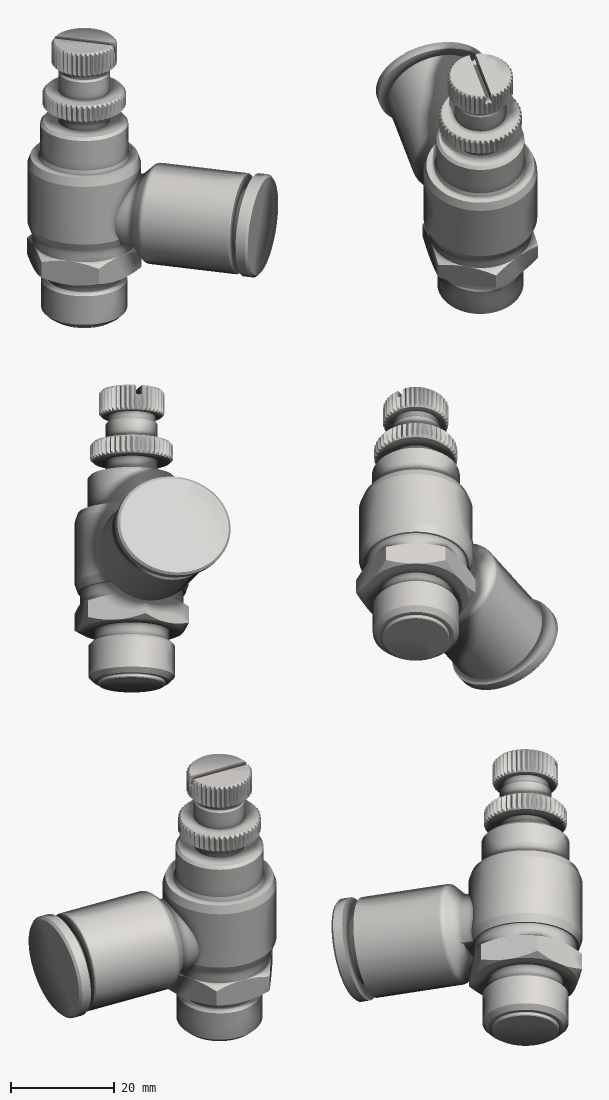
import cadquery as cq
import math


nose_top = 0.7
thread_top = 8.2
hex_bottom = 10.65
hex_top = 15.75
body_bottom = 18.3
body_top = 33.9
bonnet_top = 41.4
nut_bottom = 44.35
nut_top = 47.9
stem_top = 52.05
knob_bottom = 53.35
total_height = 58.3

nose_radius = 6.55
thread_radius = 8.35
undercut_radius = 7.3
hex_across_flats = 20.0
hex_corner_radius = hex_across_flats / math.sqrt(3)
collar_radius = hex_across_flats / 2
body_radius = 11.0
bonnet_radius = 8.5
stem_radius = 5.0
stem_neck_radius = 4.6

nose_chamfer = 0.2
thread_lower_chamfer = 0.95
thread_upper_chamfer = 0.5
hex_chamfer_angle = math.radians(30)
body_chamfer_width = 0.6
body_chamfer_height = 1.65
bonnet_chamfer = 0.5
bonnet_foot_width = 0.4
bonnet_foot_height = 0.7
stem_chamfer = 0.35

knob_radius = 6.35
knob_teeth = 40
knob_tooth_depth = 0.5
nut_radius = 8.05
nut_teeth = 46
nut_tooth_depth = 0.5
slot_width = 1.2
slot_depth = 1.9

arm_height = 23.3
arm_neck_radius = 7.35
cone_start = 10.95
cone_start_radius = 7.0
cone_angle = math.radians(45)
blend_radius = 1.3
blend_reach = blend_radius * math.tan(cone_angle / 2)
blend_cone_step = blend_reach * math.cos(cone_angle)
blend_middle_along = blend_radius * math.sin(cone_angle / 2)
blend_middle_across = blend_radius * (1 - math.cos(cone_angle / 2))
tube_radius = 9.85
tube_end = 31.95
tube_end_chamfer = 0.2
sleeve_radius = 7.1
flange_start = 33.6
flange_end = 35.9
flange_half_width = 11.25
flange_half_height = 9.8
flange_chamfer = 0.45


def revolve_about_z(outline):
    """Spin an outline of (radius, height) points, closed along the axis, about Z."""
    return cq.Workplane("XZ").polyline(outline).close().revolve(360, (0, 0, 0), (0, 1, 0))


def make_spindle():
    """All round steps on the screw axis, without the hexagon and the knurled rings."""
    return revolve_about_z([
        (0, 0),
        (nose_radius - nose_chamfer, 0),
        (nose_radius, nose_chamfer),
        (nose_radius, nose_top),
        (thread_radius - thread_lower_chamfer, nose_top),
        (thread_radius, nose_top + thread_lower_chamfer),
        (thread_radius, thread_top - thread_upper_chamfer),
        (thread_radius - thread_upper_chamfer, thread_top),
        (undercut_radius, thread_top),
        (undercut_radius, hex_bottom),
        (collar_radius, hex_bottom),
        (collar_radius, body_bottom),
        (body_radius - body_chamfer_width, body_bottom),
        (body_radius, body_bottom + body_chamfer_height),
        (body_radius, body_top - body_chamfer_height),
        (body_radius - body_chamfer_width, body_top),
        (bonnet_radius + bonnet_foot_width, body_top),
        (bonnet_radius, body_top + bonnet_foot_height),
        (bonnet_radius, bonnet_top - bonnet_chamfer),
        (bonnet_radius - bonnet_chamfer, bonnet_top),
        (stem_radius, bonnet_top),
        (stem_radius, stem_top - stem_chamfer),
        (stem_radius - stem_chamfer, stem_top),
        (stem_neck_radius, stem_top),
        (stem_neck_radius, knob_bottom),
        (0, knob_bottom),
    ])


def make_hexagon():
    """Hexagon with corners on the X axis, chamfered by a cone at both ends."""
    prism = (
        cq.Workplane("XY")
        .workplane(offset=hex_bottom)
        .polygon(6, 2 * hex_corner_radius)
        .extrude(hex_top - hex_bottom)
    )
    corner_drop = (hex_corner_radius - collar_radius) * math.tan(hex_chamfer_angle)
    envelope = revolve_about_z([
        (0, hex_bottom),
        (collar_radius, hex_bottom),
        (hex_corner_radius, hex_bottom + corner_drop),
        (hex_corner_radius, hex_top - corner_drop),
        (collar_radius, hex_top),
        (0, hex_top),
    ])
    return prism.intersect(envelope)


def make_knurled_ring(bottom, top, crest_radius, tooth_depth, tooth_count, first_crest):
    """Disc with pointed teeth, bevelled down to the tooth roots at both ends."""
    root_radius = crest_radius - tooth_depth
    half_pitch = math.pi / tooth_count
    outline = []
    for tooth in range(tooth_count):
        crest_angle = first_crest + 2 * half_pitch * tooth
        for radius, angle in ((crest_radius, crest_angle), (root_radius, crest_angle + half_pitch)):
            outline.append((radius * math.cos(angle), radius * math.sin(angle)))
    disc = cq.Workplane("XY").workplane(offset=bottom).polyline(outline).close().extrude(top - bottom)
    envelope = revolve_about_z([
        (0, bottom),
        (root_radius, bottom),
        (crest_radius, bottom + tooth_depth),
        (crest_radius, top - tooth_depth),
        (root_radius, top),
        (0, top),
    ])
    return disc.intersect(envelope)


def make_knob():
    """Knurled knob with a screwdriver slot along X; tooth roots lie on the X and Y axes."""
    knob = make_knurled_ring(
        knob_bottom, total_height, knob_radius, knob_tooth_depth, knob_teeth, math.pi / knob_teeth
    )
    slot = (
        cq.Workplane("XY")
        .workplane(offset=total_height - slot_depth)
        .rect(2 * knob_radius, slot_width)
        .extrude(slot_depth)
    )
    return knob.cut(slot)


def revolve_about_arm(outline):
    """Close and spin an (x, radius) outline about the arm axis and lift it to the arm height."""
    return outline.close().revolve(360, (0, 0, 0), (1, 0, 0)).translate((0, 0, arm_height))


def make_arm_neck():
    """Neck joining body and cone, with a concave blend onto the cone."""
    corner = cone_start + arm_neck_radius - cone_start_radius
    blend_start = corner - blend_reach
    blend_end = corner + blend_cone_step
    blend_end_radius = arm_neck_radius + blend_cone_step
    blend_middle = (blend_start + blend_middle_along, arm_neck_radius + blend_middle_across)
    neck = revolve_about_arm(
        cq.Workplane("XZ")
        .moveTo(0, 0)
        .lineTo(0, arm_neck_radius)
        .lineTo(blend_start, arm_neck_radius)
        .threePointArc(blend_middle, (blend_end, blend_end_radius))
        .lineTo(blend_end, 0)
    )
    clearance = cq.Workplane("XY").circle(flange_end).extrude(body_bottom)
    return neck.cut(clearance)


def make_tube():
    """Cone, tube socket with a rounded shoulder, and the release sleeve behind the flange."""
    corner = cone_start + tube_radius - cone_start_radius
    blend_start = corner - blend_cone_step
    blend_start_radius = tube_radius - blend_cone_step
    blend_end = corner + blend_reach
    blend_middle = (blend_end - blend_middle_along, tube_radius - blend_middle_across)
    return revolve_about_arm(
        cq.Workplane("XZ")
        .moveTo(cone_start, 0)
        .lineTo(cone_start, cone_start_radius)
        .lineTo(blend_start, blend_start_radius)
        .threePointArc(blend_middle, (blend_end, tube_radius))
        .lineTo(tube_end - tube_end_chamfer, tube_radius)
        .lineTo(tube_end, tube_radius - tube_end_chamfer)
        .lineTo(tube_end, sleeve_radius)
        .lineTo(flange_start, sleeve_radius)
        .lineTo(flange_start, 0)
    )


def make_flange():
    """Oval release flange, wider along Y, bevelled on its outer face."""
    return (
        cq.Workplane("YZ", origin=(flange_start, 0, arm_height))
        .ellipse(flange_half_width, flange_half_height)
        .extrude(flange_end - flange_start)
        .faces(">X")
        .chamfer(flange_chamfer)
    )


lock_nut = make_knurled_ring(nut_bottom, nut_top, nut_radius, nut_tooth_depth, nut_teeth, math.pi / 2)

result = (
    make_spindle()
    .union(make_hexagon())
    .union(lock_nut)
    .union(make_knob())
    .union(make_arm_neck())
    .union(make_tube())
    .union(make_flange())
)